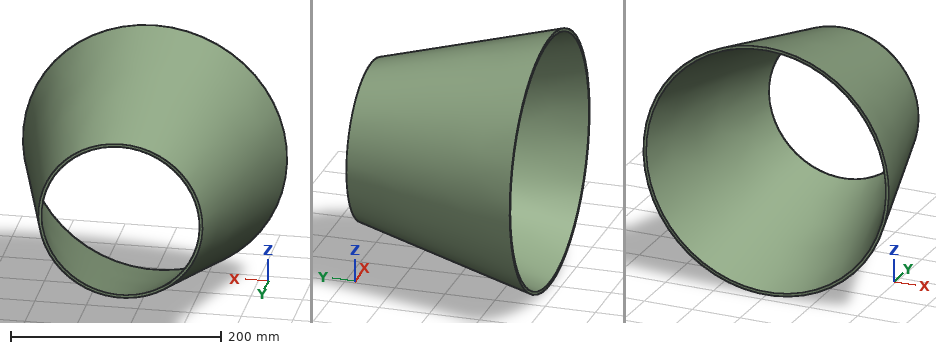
import cadquery as cq

large_diameter = 256.0
small_diameter = 159.0
length = 178.0
wall = 3.0


def cone(large_end_diameter, small_end_diameter):
    """Solid cone frustum along +Y, with its wide end on the XZ plane."""
    return cq.Workplane("XY").add(
        cq.Solid.makeCone(
            large_end_diameter / 2,
            small_end_diameter / 2,
            length,
            pnt=cq.Vector(0, 0, 0),
            dir=cq.Vector(0, 1, 0),
        )
    )


outer_cone = cone(large_diameter, small_diameter)
bore = cone(large_diameter - 2 * wall, small_diameter - 2 * wall)

result = outer_cone.cut(bore)